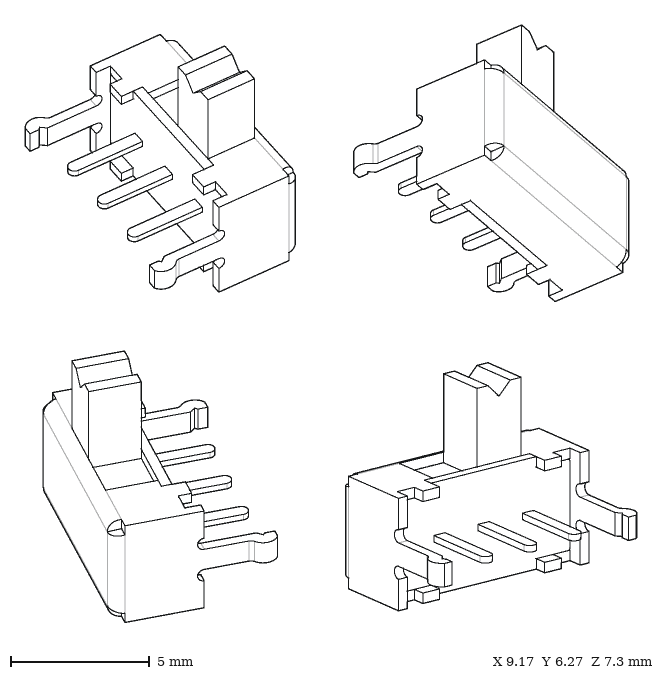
import cadquery as cq
import math


overall_width = 9.17
overall_depth = 6.27
frame_width = 8.6
frame_height = 4.3
sheet = 0.4
bend_radius = 0.5
side_depth = 3.5
plate_depth = 2.9
tab_length = 0.5
tab_width = 0.75
half_frame = frame_width / 2
inner_half = half_frame - sheet
inner_bend_radius = bend_radius - sheet
middle_height = frame_height / 2

leg_height = 0.9
relief_radius = 0.25
bulge_radius = 0.55
neck_radius = 0.23
bulge_to_tip = 0.47
crease_depth = 0.22
crease_rise = 0.21
lip_step = 0.09

flange_width = 4.75
lever_width = 2.0
lever_height = 3.0
lever_notch_depth = 0.5
lever_travel = lever_width
flange_back = plate_depth - sheet
half_window = (lever_width + lever_travel) / 2
lever_center = lever_travel / 2
lever_top = frame_height + lever_height

pin_count = 3
pin_pitch = 2.0
pin_width = 0.5
pin_thickness = 0.25
pin_length = 3.0


def block(half_width, near, far, bottom, top):
    """Box centred on X = 0, between two distances in front of the back and two heights."""
    return cq.Workplane("XY").box(
        2 * half_width, far - near, top - bottom, centered=(True, False, False)
    ).translate((0, -far, bottom))


def frame_shell():
    """Five-sided sheet shell, open at the front, with its back edges bent round."""
    outside = block(half_frame, 0, side_depth, 0, frame_height).faces(">Y").edges().fillet(bend_radius)
    cavity = block(inner_half, sheet, side_depth, sheet, frame_height - sheet)
    cavity = cavity.faces(">Y").edges().fillet(inner_bend_radius)
    return outside.cut(cavity)


def corner_relief():
    """Tapered cut that opens the right upper back corner, where two bends meet."""
    return (
        cq.Workplane("XZ")
        .rect(2 * bend_radius, 2 * bend_radius)
        .workplane(offset=bend_radius)
        .rect(2 * sheet, 2 * sheet)
        .loft(ruled=True)
        .translate((half_frame, 0, frame_height))
    )


def plate_front_cut():
    """Space in front of both plates and their tabs, with the gap that takes the flange."""
    tab_outer = flange_width / 2 + tab_width
    full_gap = block(inner_half, plate_depth, side_depth, 0, frame_height)
    tab_zone = block(tab_outer, plate_depth, plate_depth + tab_length, 0, frame_height)
    flange_gap = block(flange_width / 2, flange_back, side_depth, 0, frame_height)
    return full_gap.cut(tab_zone).union(flange_gap)


def side_wall_reliefs():
    """Half-round cuts through both side walls, touching the legs."""
    offset = leg_height / 2 + relief_radius
    return (
        cq.Workplane("YZ")
        .pushPoints([(-side_depth, middle_height + side * offset) for side in (-1, 1)])
        .circle(relief_radius)
        .extrude(half_frame, both=True)
    )


def right_leg():
    """Mounting leg that continues the right side wall and bulges outward at its tip."""
    bulge_x = overall_width / 2 - bulge_radius
    bulge_y = bulge_to_tip - overall_depth
    tip_y = -overall_depth

    neck_x = half_frame + neck_radius
    center_run = neck_x - bulge_x
    center_spacing = bulge_radius + neck_radius
    neck_y = bulge_y + math.sqrt(center_spacing**2 - center_run**2)
    blend_angle = math.acos(center_run / center_spacing)
    neck_middle = (
        neck_x - neck_radius * math.cos(blend_angle / 2),
        neck_y - neck_radius * math.sin(blend_angle / 2),
    )
    blend_point = (
        bulge_x + bulge_radius * math.cos(blend_angle),
        bulge_y + bulge_radius * math.sin(blend_angle),
    )

    bulge_end_x = bulge_x + math.sqrt(bulge_radius**2 - bulge_to_tip**2)
    crease_x = half_frame - crease_depth
    lip_x = crease_x - lip_step
    return (
        cq.Workplane("XY")
        .moveTo(inner_half, -side_depth)
        .lineTo(half_frame, -side_depth)
        .lineTo(half_frame, neck_y)
        .threePointArc(neck_middle, blend_point)
        .threePointArc((overall_width / 2, bulge_y), (bulge_end_x, tip_y))
        .lineTo(lip_x, tip_y)
        .lineTo(lip_x, bulge_y - lip_step)
        .lineTo(crease_x, bulge_y)
        .lineTo(inner_half, bulge_y + crease_rise)
        .close()
        .extrude(leg_height)
        .translate((0, 0, middle_height - leg_height / 2))
    )


def mirrored_pair(right_part):
    return right_part.union(right_part.mirror("YZ"))


def make_frame():
    upper_reliefs = mirrored_pair(corner_relief())
    lower_reliefs = upper_reliefs.mirror("XY", (0, 0, middle_height))
    window = block(half_window, bend_radius, flange_back, frame_height - sheet, frame_height)
    return (
        frame_shell()
        .cut(upper_reliefs)
        .cut(lower_reliefs)
        .cut(plate_front_cut())
        .cut(window)
        .cut(side_wall_reliefs())
        .union(mirrored_pair(right_leg()))
    )


def make_lever():
    """Lever at the right end of its travel, with a V-notch across its top."""
    lever = block(lever_width / 2, bend_radius, flange_back, frame_height - sheet, lever_top)
    notch = (
        cq.Workplane("XZ")
        .moveTo(-lever_notch_depth, lever_top)
        .lineTo(0, lever_top - lever_notch_depth)
        .lineTo(lever_notch_depth, lever_top)
        .close()
        .extrude(plate_depth)
    )
    return lever.cut(notch).translate((lever_center, 0, 0))


def make_insulator():
    """Block that fills the frame, with its front flange and the lever."""
    core = block(inner_half, sheet, plate_depth, sheet, frame_height - sheet)
    core = core.edges("|Y or >Y").fillet(inner_bend_radius)
    flange = block(flange_width / 2, flange_back, plate_depth, 0, frame_height)
    return core.union(flange).union(make_lever())


def make_pin(x):
    """Flat pin with a half-round tip, standing on the front of the insulator."""
    radius = pin_width / 2
    straight = pin_length - radius
    return (
        cq.Workplane("XY")
        .moveTo(-radius, 0)
        .lineTo(radius, 0)
        .lineTo(radius, -straight)
        .threePointArc((0, -pin_length), (-radius, -straight))
        .close()
        .extrude(pin_thickness)
        .translate((x, -plate_depth, middle_height - pin_thickness / 2))
    )


frame = make_frame()
insulator = make_insulator()
pins = [make_pin((index - (pin_count - 1) / 2) * pin_pitch) for index in range(pin_count)]

bodies = [frame, insulator, *pins]
result = cq.Compound.makeCompound([body.solids().val() for body in bodies])